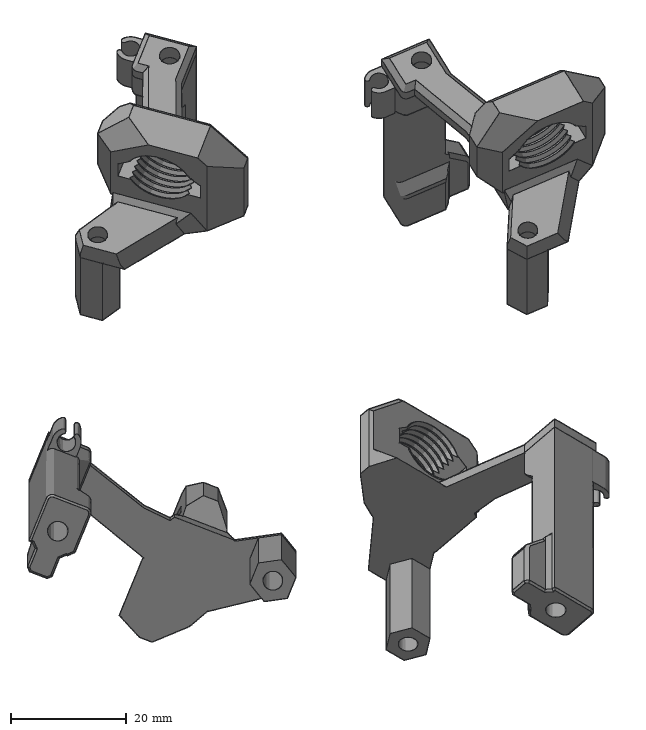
import cadquery as cq
import math

assembly_twist = 1.0
screw_spacing = 40.1
long_post_hole = 3.5
short_post_hole = 3.4

plate_bottom = 39.5
plate_thickness = 3.0
plate_top = plate_bottom + plate_thickness

pad_left, pad_right = -5.75, 3.55
pad_front, pad_back = 35.85, 44.05
arm_bevel = 1.0
pad_corner_radius = 1.1
arm_bend = (0.3, 23.95)
arm_foot = (0.7, 18.85)
arm_head_left = (-4.25, 38.1)
arm_root_v = 14.5
arm_root_right = 10.7

block_left, block_right = -3.85, 22.1
block_front, block_back = 8.7, 16.8
block_top = 60.45
left_flat_bottom, left_flat_top = 46.35, 55.4
top_left_run = 5.2
right_slope = 6.8
left_front_run, left_front_depth = 3.4, 3.0
left_facet_top_run = 10.3
left_back_bevel = 2.3
right_front_bevel = 5.0
right_back_run, right_back_depth = 0.35, 0.7
top_back_bevel = 0.9
base_left = -0.1

bore_u, bore_z = 8.35, 51.6
bore_diameter = 11.25
thread_diameter = 12.2
thread_pitch = 1.25
thread_phase = 0.25
pocket_half_width = 7.5
pocket_floor = -2.85
pocket_wall_top = 0.7
pocket_roof_half_width, pocket_roof = 4.95, 2.7

gusset_rise = 4.0
gusset_top = plate_bottom + gusset_rise
base_front_right = block_right - right_front_bevel
right_facet_run = 2.95

hex_across_flats = 7.0
hex_radius = hex_across_flats / math.sqrt(3)
lobe_wall_height = 1.1
lobe_bevel_start = plate_bottom + lobe_wall_height
lobe_bevel_width = 0.6
lobe_right_bevel = 1.75
lobe_overlap = 0.6
lobe_front_right = 6.05
lobe_root = (13.55, 6.9)

neck_front, neck_back = 7.5, 18.4
neck_front_height, neck_back_height = 40.5, 41.35
base_face_front_height, base_face_back_height = 43.15, 42.45
front_facet_depth, front_facet_reach = 1.0, 0.35
back_facet_depth, back_facet_reach = 0.9, 0.85
gusset_back_left = 1.2

short_post_bottom = 22.5

post_front = 37.95
post_corner_radius = pad_corner_radius
head_step_top, head_step_bottom = 34.5, 32.15
foot_step_bottom, foot_step_top = 8.75, 11.1
step_lip = 0.3
step_lip_height = 0.6
foot_right_bevel = 1.0
foot_edge_bevel = 0.35

boss_right = 8.65
boss_front, boss_back = 37.95, 42.55
boss_slope_top = 14.0
boss_bevel = 0.65
boss_root_flare = 0.85

clip_u, clip_v = -7.55, 41.45
clip_bore = 3.2
clip_width = 5.1
clip_bottom = 31.6
clip_mouth_angle = 38.0

big = 120.9


def prism(points, bottom, top):
    """Vertical prism on a plan outline."""
    return cq.Workplane("XY").workplane(offset=bottom).polyline(points).close().extrude(top - bottom)


def front_prism(points, front, back):
    """Prism along Y on an outline given in X and Z."""
    plane = cq.Plane(origin=(0, front, 0), xDir=(1, 0, 0), normal=(0, -1, 0))
    return cq.Workplane(plane).polyline(points).close().extrude(front - back)


def side_prism(points, left, right):
    """Prism along X on an outline given in Y and Z."""
    return cq.Workplane("YZ").workplane(offset=left).polyline(points).close().extrude(right - left)


def space_beyond(a, b, c):
    """Solid on the side of the plane through a, b, c toward which (b - a) x (c - a) points."""
    start = cq.Vector(*a)
    along = cq.Vector(*b) - start
    normal = along.cross(cq.Vector(*c) - start)
    plane = cq.Plane(origin=a, xDir=along.toTuple(), normal=normal.toTuple())
    return cq.Workplane(plane).rect(2 * big, 2 * big).extrude(big)


def edge_bevel(start, end, level, width):
    """Cutter that slopes inward from an edge of a counterclockwise outline up to the plate top."""
    length = math.hypot(end[0] - start[0], end[1] - start[1])
    inward_u = (start[1] - end[1]) / length * width
    inward_v = (end[0] - start[0]) / length * width
    upper = (start[0] + inward_u, start[1] + inward_v, plate_top)
    return space_beyond((*start, level), (*end, level), upper)


def make_pad():
    outline = [(pad_left, pad_front), (pad_right, pad_front), (pad_right, pad_back), (pad_left, pad_back)]
    pad = prism(outline, plate_bottom, plate_top)
    corner = cq.selectors.BoxSelector((pad_left - 0.6, pad_front - 0.6, 0), (pad_left + 0.6, pad_front + 0.6, big))
    return pad.edges(corner).fillet(pad_corner_radius).faces(">Z").chamfer(arm_bevel)


def make_arm():
    outline = [
        arm_bend, arm_foot, (arm_foot[0], arm_root_v), (arm_root_right, arm_root_v),
        (pad_right, pad_front), (pad_right, arm_head_left[1]), arm_head_left,
    ]
    return prism(outline, plate_bottom, plate_top).faces(">Z").chamfer(arm_bevel)


def make_lobe():
    half_flat = hex_across_flats / 2
    left = (-hex_radius, 0)
    front_left = (-hex_radius / 2, -half_flat)
    front_right = (lobe_front_right, -half_flat)
    inner_v = block_front + lobe_overlap
    inner_left = (-hex_radius + inner_v / math.sqrt(3), inner_v)
    edge_u = (lobe_root[0] - lobe_front_right) / (lobe_root[1] + half_flat)
    inner_right = (lobe_root[0] + (inner_v - lobe_root[1]) * edge_u, inner_v)
    lobe = prism([left, front_left, front_right, inner_right, inner_left], plate_bottom, plate_top)
    for start, end in [(inner_left, left), (left, front_left), (front_left, front_right)]:
        lobe = lobe.cut(edge_bevel(start, end, lobe_bevel_start, lobe_bevel_width))
    return lobe.cut(edge_bevel(front_right, inner_right, plate_bottom, lobe_right_bevel))


def make_base():
    profile = [
        (block_front - gusset_rise, plate_bottom), (block_back + gusset_rise, plate_bottom),
        (block_back, gusset_top), (block_front, gusset_top),
    ]
    flare = side_prism(profile, base_left, block_right)
    back_right = block_right - right_back_run * (gusset_rise + right_back_depth) / right_back_depth
    gusset_back = block_back + gusset_rise
    outline = [
        (base_left, neck_front), (0, lobe_root[1]), lobe_root, (base_front_right, block_front),
        (block_right, block_front + right_front_bevel), (block_right, block_back - right_back_depth),
        (back_right, gusset_back), (gusset_back_left, gusset_back), arm_foot, (base_left, neck_back),
    ]
    base = flare.intersect(prism(outline, plate_bottom, gusset_top))
    front_zone = side_prism([(0, 0), (block_front, 0), (block_front, big), (0, big)], base_left, block_right)
    back_zone = side_prism([(block_back, 0), (big, 0), (big, big), (block_back, big)], base_left, block_right)
    facet_top = (base_front_right - right_facet_run, block_front, gusset_top)
    facet_right = (base_front_right, block_front, plate_bottom)
    right_facet = space_beyond(facet_right, facet_top, (*lobe_root, plate_bottom))
    front_facet = space_beyond(
        (base_left, neck_front, neck_front_height),
        (base_left + front_facet_reach, block_front - front_facet_depth, gusset_top - front_facet_depth),
        (base_left, block_front, base_face_front_height))
    back_facet = space_beyond(
        (base_left, block_back, base_face_back_height),
        (base_left + back_facet_reach, block_back + back_facet_depth, gusset_top - back_facet_depth),
        (base_left, neck_back, neck_back_height))
    base = base.cut(right_facet.union(front_facet).intersect(front_zone))
    return base.cut(back_facet.intersect(back_zone))


def make_block():
    elevation = [
        (base_left, plate_bottom), (block_right, plate_bottom), (block_right, block_top - right_slope),
        (block_right - right_slope, block_top), (block_left + top_left_run, block_top),
        (block_left, left_flat_top), (block_left, left_flat_bottom),
        (base_left, left_flat_bottom - (base_left - block_left)),
    ]
    plan = [
        (block_left + left_front_run, block_front), (base_front_right, block_front),
        (block_right, block_front + right_front_bevel), (block_right, block_back - right_back_depth),
        (block_right - right_back_run, block_back), (block_left + left_back_bevel, block_back),
        (block_left, block_back - left_back_bevel), (block_left, block_front + left_front_depth),
    ]
    block = front_prism(elevation, block_front, block_back)
    block = block.intersect(prism(plan, plate_bottom, block_top))
    top_left = (block_left, block_back, block_top - top_back_bevel)
    top_right = (block_right, block_back, block_top - top_back_bevel)
    block = block.cut(space_beyond(top_right, top_left, (block_left, block_back - top_back_bevel, block_top)))
    slope_low = (block_right, block_back - top_back_bevel, block_top - right_slope)
    slope_high = (block_right - right_slope, block_back - top_back_bevel, block_top)
    back_low = (block_right, block_back, block_top - right_slope - top_back_bevel * math.sqrt(2))
    block = block.cut(space_beyond(slope_high, slope_low, back_low))
    flat_corner = (block_left, block_front + left_front_depth, left_flat_top)
    front_corner = (block_left + left_front_run, block_front, left_flat_top)
    upper_corner = (block_left + left_facet_top_run, block_front, block_top)
    return block.cut(space_beyond(flat_corner, front_corner, upper_corner))


def make_bore():
    """Bore with ring grooves that stand for its thread, crossed by the wide pocket."""
    depth = block_back - block_front
    core = bore_diameter / 2
    crest = thread_diameter / 2
    plane = cq.Plane(origin=(bore_u, block_front, bore_z), xDir=(1, 0, 0), normal=(0, -1, 0))
    bore = cq.Workplane(plane).circle(core).extrude(-depth)
    for turn in range(math.ceil(depth / thread_pitch)):
        start = (turn - thread_phase) * thread_pitch
        groove = [(0, start), (core, start), (crest, start + thread_pitch / 2), (core, start + thread_pitch),
                  (0, start + thread_pitch)]
        ring = cq.Workplane("XY").polyline(groove).close().revolve(360, (0, 0, 0), (0, 1, 0))
        bore = bore.union(ring.translate((bore_u, block_front, bore_z)))
    side = [(pocket_half_width, pocket_floor), (pocket_half_width, pocket_wall_top),
            (pocket_roof_half_width, pocket_roof)]
    outline = side + [(-u, z) for u, z in reversed(side)]
    pocket = front_prism([(bore_u + u, bore_z + z) for u, z in outline], block_front, block_back)
    return bore.union(pocket)


def screw_hole(v, diameter):
    return cq.Workplane("XY").center(0, v).circle(diameter / 2).extrude(block_top)


def make_bracket():
    bracket = make_pad().union(make_arm()).union(make_base()).union(make_lobe()).union(make_block())
    bracket = bracket.cut(make_bore())
    return bracket.cut(screw_hole(0, short_post_hole)).cut(screw_hole(screw_spacing, long_post_hole))


def make_short_post():
    post = cq.Workplane("XY").workplane(offset=short_post_bottom)
    post = post.polygon(6, 2 * hex_radius).extrude(plate_bottom - short_post_bottom)
    return post.cut(screw_hole(0, short_post_hole))


def long_post_profile():
    return [
        (pad_back, 0), (pad_back, plate_bottom), (pad_front, plate_bottom), (pad_front, head_step_top),
        (pad_front + step_lip, head_step_top - step_lip_height), (post_front, head_step_bottom),
        (post_front, foot_step_top), (pad_front + step_lip, foot_step_bottom + step_lip_height),
        (pad_front, foot_step_bottom), (pad_front, 0),
    ]


def make_boss():
    run = boss_right - pad_right
    elevation = [(0, 0), (boss_right, 0), (boss_right, boss_slope_top - run),
                 (pad_right, boss_slope_top), (0, boss_slope_top)]
    boss = front_prism(elevation, boss_front, boss_back)
    tip = cq.selectors.BoxSelector((pad_right, 0, foot_edge_bevel), (big, big, big))
    boss = boss.edges(tip).chamfer(boss_bevel)
    flare_plan = [
        (pad_right, boss_front - boss_root_flare),
        (pad_right + boss_root_flare, boss_front), (pad_right + boss_root_flare, boss_back),
        (pad_right, boss_back + boss_root_flare),
    ]
    flare = prism(flare_plan, 0, boss_slope_top).intersect(front_prism(elevation, 0, big))
    flare = flare.intersect(side_prism(long_post_profile(), pad_right, boss_right))
    return boss.union(flare)


def make_clip():
    height = plate_bottom - clip_bottom
    level = cq.Workplane("XY").workplane(offset=clip_bottom).center(clip_u, clip_v)
    half = clip_width / 2
    shank_end = pad_left + post_corner_radius
    shank = prism([(clip_u, clip_v - half), (shank_end, clip_v - half),
                   (shank_end, clip_v + half), (clip_u, clip_v + half)], clip_bottom, plate_bottom)
    clip = level.circle(half).extrude(height).union(shank)
    clip = clip.cut(level.circle(clip_bore / 2).extrude(height))
    angle = math.radians(clip_mouth_angle)
    reach = (-2 * half * math.cos(angle), 2 * half * math.sin(angle))
    mouth = level.polyline([(0, 0), reach, (reach[0], -reach[1])]).close().extrude(height)
    clip = clip.cut(mouth)
    tip_diameter = half - clip_bore / 2
    tip_offset = (half + clip_bore / 2) / 2
    tips = [(-tip_offset * math.cos(angle), side * tip_offset * math.sin(angle)) for side in (1, -1)]
    return clip.union(level.pushPoints(tips).circle(tip_diameter / 2).extrude(height))


def make_long_post():
    post = side_prism(long_post_profile(), pad_left, pad_right)
    left_edges = cq.selectors.BoxSelector(
        (pad_left - 0.6, 0, foot_edge_bevel), (pad_left + 0.6, big, plate_bottom - foot_edge_bevel))
    post = post.edges(left_edges).fillet(post_corner_radius)
    foot_right = [(pad_right - foot_right_bevel, 0), (pad_right, 0), (pad_right, pad_front + foot_right_bevel),
                  (pad_right - foot_right_bevel, pad_front)]
    post = post.cut(prism(foot_right, 0, foot_step_top))
    post = post.union(make_boss())
    post = post.faces("<Z").chamfer(foot_edge_bevel)
    return post.union(make_clip()).cut(screw_hole(screw_spacing, long_post_hole))


def placed(body):
    return body.rotate((0, 0, 0), (0, 0, 1), assembly_twist).solids().val()


bracket = make_bracket()
short_post = make_short_post()
long_post = make_long_post()

result = cq.Compound.makeCompound([placed(bracket), placed(short_post), placed(long_post)])